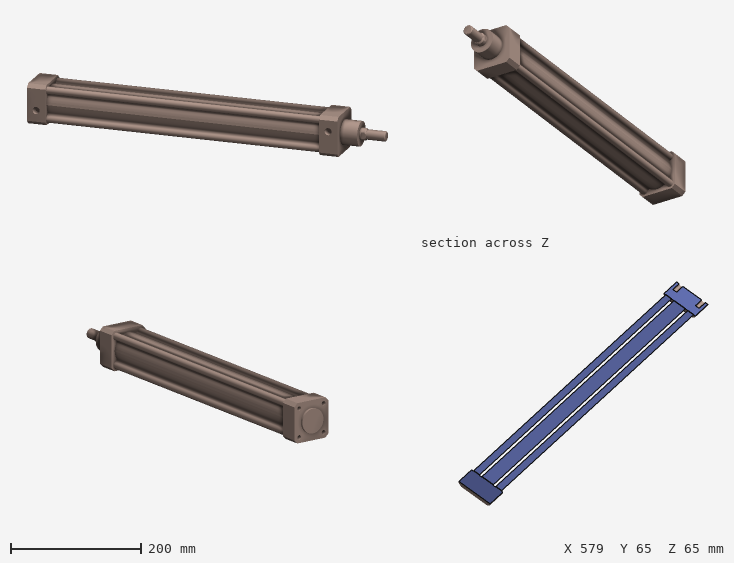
import cadquery as cq
import math

TOTAL_LENGTH = 579.0
REAR_BOSS_LENGTH = 4.0
CAP_LENGTH = 30.0
REAR_CAP_END = REAR_BOSS_LENGTH + CAP_LENGTH
FRONT_CAP_START = 480.0
FRONT_CAP_END = FRONT_CAP_START + CAP_LENGTH
NECK_LENGTH = 28.0
NECK_END = FRONT_CAP_END + NECK_LENGTH

CAP_SIZE = 65.0
CAP_CORNER_CHAMFER = 6.0
BOSS_DIAMETER = 40.0
SCREW_SPACING = 46.5
SCREW_HOLE_DIAMETER = 7.0
SCREW_HOLE_DEPTH = 14.5
PORT_DIAMETER = 11.5
PORT_DEPTH = 11.5
PORT_OFFSET = 8.5

BARREL_RADIUS = 26.0
RAIL_OFFSET = SCREW_SPACING / 2
RAIL_RADIUS = 6.0
RAIL_FILLET = 3.5
CREST_HALF_WIDTH = 4.4

ROD_RADIUS = 10.0
ROD_ACROSS_FLATS = 17.0
ROD_LENGTH = 10.0
ROD_CHAMFER = 2.0
FLATS_START = NECK_END + 2.5
RELIEF_RADIUS = 7.5
RELIEF_LENGTH = 2.5
THREAD_RADIUS = 8.0
THREAD_END_CHAMFER = 1.0


def disc(start, length, radius):
    """Round bar along X, starting at the given station."""
    return cq.Workplane("YZ", origin=(start, 0, 0)).circle(radius).extrude(length)


def make_cap(start, port_height):
    """Square end block with chamfered long edges and an air port in its -Y side."""
    block = (
        cq.Workplane("YZ", origin=(start, 0, 0))
        .rect(CAP_SIZE, CAP_SIZE)
        .extrude(CAP_LENGTH)
        .edges("|X")
        .chamfer(CAP_CORNER_CHAMFER)
    )
    port_centre = (start + CAP_LENGTH / 2, -CAP_SIZE / 2, port_height)
    port = cq.Workplane("XZ", origin=port_centre).circle(PORT_DIAMETER / 2).extrude(-PORT_DEPTH)
    return block.cut(port)


def make_rear_cap():
    """Rear end block with a centring boss and four blind mounting holes."""
    screw_holes = (
        cq.Workplane("YZ", origin=(REAR_BOSS_LENGTH, 0, 0))
        .rect(SCREW_SPACING, SCREW_SPACING, forConstruction=True)
        .vertices()
        .circle(SCREW_HOLE_DIAMETER / 2)
        .extrude(SCREW_HOLE_DEPTH)
    )
    boss = disc(0, REAR_BOSS_LENGTH, BOSS_DIAMETER / 2)
    return make_cap(REAR_BOSS_LENGTH, -PORT_OFFSET).union(boss).cut(screw_holes)


def make_front_cap():
    """Front end block with the neck that guides the rod."""
    neck = disc(FRONT_CAP_END, NECK_LENGTH, BOSS_DIAMETER / 2)
    return make_cap(FRONT_CAP_START, PORT_OFFSET).union(neck)


def polar(radius, angle):
    """(Y, Z) of the point at a radius and angle about the axis."""
    return (radius * math.cos(angle), radius * math.sin(angle))


def make_tube():
    """Extruded barrel: each quarter runs barrel arc, fillet, rail, fillet, barrel arc, flat crest ridge."""
    diagonal = math.pi / 4
    rail_distance = RAIL_OFFSET * math.sqrt(2)

    fillet_distance = BARREL_RADIUS + RAIL_FILLET
    centre_gap = RAIL_RADIUS + RAIL_FILLET
    fillet_swing = math.acos(
        (fillet_distance**2 + rail_distance**2 - centre_gap**2) / (2 * fillet_distance * rail_distance)
    )
    fillet_angle = diagonal - fillet_swing
    fillet_centre = polar(fillet_distance, fillet_angle)
    to_rail = math.atan2(RAIL_OFFSET - fillet_centre[1], RAIL_OFFSET - fillet_centre[0])
    to_barrel = fillet_angle - math.pi
    fillet_middle_angle = (to_rail % (2 * math.pi) + to_barrel % (2 * math.pi)) / 2

    def on_fillet(angle):
        """Point of the fillet arc at an angle about the fillet centre."""
        offset = polar(RAIL_FILLET, angle)
        return (fillet_centre[0] + offset[0], fillet_centre[1] + offset[1])

    crest_angle = math.asin(CREST_HALF_WIDTH / BARREL_RADIUS)
    crest_edge = polar(BARREL_RADIUS, crest_angle)
    ridge = (BARREL_RADIUS / math.cos(crest_angle), 0)
    barrel_middle = polar(BARREL_RADIUS, (crest_angle + fillet_angle) / 2)
    barrel_end = polar(BARREL_RADIUS, fillet_angle)
    fillet_middle = on_fillet(fillet_middle_angle)
    rail_start = on_fillet(to_rail)
    rail_top = polar(rail_distance + RAIL_RADIUS, diagonal)

    def turned(point, quarter):
        """The point rotated by a number of quarter turns."""
        angle = quarter * math.pi / 2
        y, z = point
        return (y * math.cos(angle) - z * math.sin(angle), y * math.sin(angle) + z * math.cos(angle))

    def mirrored(point):
        """The point mirrored about the 45 degree diagonal."""
        return (point[1], point[0])

    arcs = [
        (barrel_middle, barrel_end),
        (fillet_middle, rail_start),
        (rail_top, mirrored(rail_start)),
        (mirrored(fillet_middle), mirrored(barrel_end)),
        (mirrored(barrel_middle), mirrored(crest_edge)),
    ]
    outline = cq.Workplane("YZ", origin=(REAR_CAP_END, 0, 0)).moveTo(*crest_edge)
    for quarter in range(4):
        for middle, end in arcs:
            outline = outline.threePointArc(turned(middle, quarter), turned(end, quarter))
        next_quarter = quarter + 1
        outline = outline.lineTo(*turned(ridge, next_quarter)).lineTo(*turned(crest_edge, next_quarter))
    return outline.close().extrude(FRONT_CAP_START - REAR_CAP_END)


def make_rod():
    """Rod end with two wrench flats facing +Y and -Y, a relief groove and a plain thread section."""
    rod_end = NECK_END + ROD_LENGTH
    rod = disc(NECK_END, ROD_LENGTH, ROD_RADIUS).faces(">X").chamfer(ROD_CHAMFER)
    cheek_depth = ROD_RADIUS - ROD_ACROSS_FLATS / 2
    cheek_middle = (ROD_RADIUS + ROD_ACROSS_FLATS / 2) / 2
    for side in (-1, 1):
        cheek = cq.Workplane("YZ", origin=(FLATS_START, side * cheek_middle, 0))
        cheek = cheek.rect(cheek_depth, 2 * ROD_RADIUS).extrude(rod_end - FLATS_START)
        rod = rod.cut(cheek)
    relief = disc(rod_end, RELIEF_LENGTH, RELIEF_RADIUS)
    thread_start = rod_end + RELIEF_LENGTH
    thread = disc(thread_start, TOTAL_LENGTH - thread_start, THREAD_RADIUS)
    thread = thread.faces(">X").chamfer(THREAD_END_CHAMFER)
    return rod.union(relief).union(thread)


rear_cap = make_rear_cap()
tube = make_tube()
front_cap = make_front_cap()
rod = make_rod()

result = cq.Compound.makeCompound([rear_cap.val(), tube.val(), front_cap.val(), rod.val()])